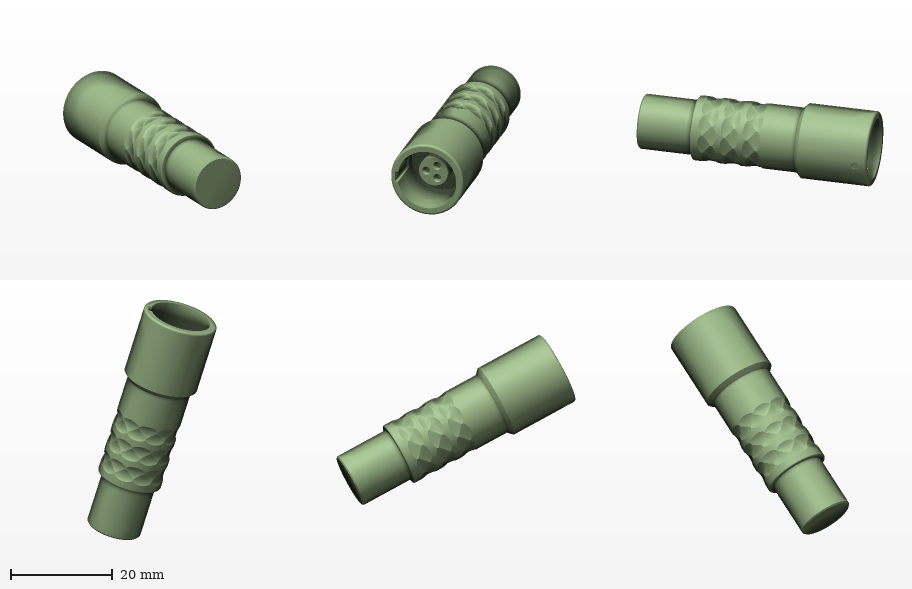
import cadquery as cq

total_length = 47.0
head_diameter = 14.9
head_radius = head_diameter / 2
head_length = 13.95
body_radius = 6.45
body_end = 36.0
tail_radius = 5.45
shoulder_length = head_radius - body_radius
mouth_rounding = 0.45
body_end_rounding = 0.3
tail_end_chamfer = 0.3

bore_radius = 6.0
bore_depth = 10.0
insert_radius = 2.95
insert_face_depth = 4.5

keyway_width = 2.1
keyway_floor = 6.6
keyway_length = 8.0

contact_count = 3
contact_circle_radius = 1.5
contact_radius = 0.7
contact_depth = 2.8
contact_chamfer = 0.15

mark_position = 2.3
mark_radius = 0.75
mark_depth = 0.2

band_count = 3
band_pitch = 4.5
first_row_position = 23.15
row_spacing = 0.9
scallops_per_row = 10
scallop_radius = 2.45
scallop_depth = 0.4
scallop_angle = 360 / scallops_per_row


def axial_cylinder(radius, start, length):
    """Cylinder along +X, centred on the connector axis."""
    return cq.Workplane("YZ", origin=(start, 0, 0)).circle(radius).extrude(length)


def make_shell():
    """Stepped outer body as one revolved profile."""
    return (
        cq.Workplane("XY")
        .moveTo(0, 0)
        .lineTo(0, -(head_radius - mouth_rounding))
        .radiusArc((mouth_rounding, -head_radius), -mouth_rounding)
        .lineTo(head_length, -head_radius)
        .lineTo(head_length + shoulder_length, -body_radius)
        .lineTo(body_end - body_end_rounding, -body_radius)
        .radiusArc((body_end, -(body_radius - body_end_rounding)), -body_end_rounding)
        .lineTo(body_end, -tail_radius)
        .lineTo(total_length - tail_end_chamfer, -tail_radius)
        .lineTo(total_length, -(tail_radius - tail_end_chamfer))
        .lineTo(total_length, 0)
        .close()
        .revolve(360, (0, 0, 0), (1, 0, 0))
    )


def make_socket():
    """Bore around the insert, together with its keyway."""
    bore = axial_cylinder(bore_radius, 0, bore_depth)
    insert = axial_cylinder(insert_radius, insert_face_depth, bore_depth - insert_face_depth)
    keyway = cq.Workplane("XY").box(
        keyway_length, keyway_floor, keyway_width, centered=(False, False, True)
    )
    return bore.union(keyway).cut(insert)


def make_contact_hole(angle):
    """Chamfered blind hole in the insert face; angle is measured from +Y."""
    mouth_radius = contact_radius + contact_chamfer
    hole = (
        cq.Workplane("XY")
        .moveTo(0, 0)
        .lineTo(0, mouth_radius)
        .lineTo(contact_chamfer, contact_radius)
        .lineTo(contact_depth, contact_radius)
        .lineTo(contact_depth, 0)
        .close()
        .revolve(360, (0, 0, 0), (1, 0, 0))
    )
    placed = hole.translate((insert_face_depth, contact_circle_radius, 0))
    return placed.rotate((0, 0, 0), (1, 0, 0), angle)


def make_index_mark():
    """Shallow round recess entering the head from +Y."""
    floor = head_radius - mark_depth
    return (
        cq.Workplane("XZ", origin=(mark_position, floor, 0))
        .circle(mark_radius)
        .extrude(-2 * mark_depth)
    )


def make_scallop(position, angle):
    """Cylinder lying across the body surface; angle is measured from +Y."""
    axis_offset = body_radius - scallop_depth + scallop_radius
    scallop = (
        cq.Workplane("XY", origin=(position, axis_offset, -body_radius / 2))
        .circle(scallop_radius)
        .extrude(body_radius)
    )
    return scallop.rotate((0, 0, 0), (1, 0, 0), angle)


def make_grip_cutters():
    """All scallops of the grip; the two rows of a band are staggered by half a scallop."""
    cutters = []
    for band in range(band_count):
        front_position = first_row_position + band * band_pitch
        back_position = front_position + row_spacing
        for index in range(scallops_per_row):
            back_angle = index * scallop_angle
            front_angle = back_angle + scallop_angle / 2
            cutters.append(make_scallop(front_position, front_angle).val())
            cutters.append(make_scallop(back_position, back_angle).val())
    return cutters


result = make_shell().cut(make_socket()).cut(make_index_mark())

for contact in range(contact_count):
    result = result.cut(make_contact_hole(contact * 360 / contact_count))

result = cq.Workplane(result.val().cut(*make_grip_cutters())).solids()